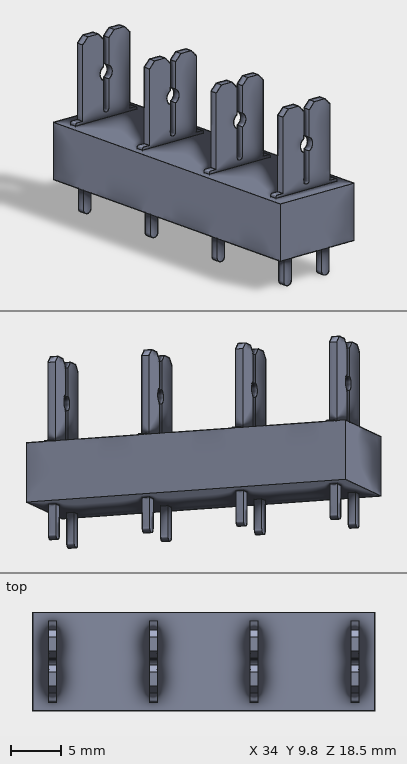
import cadquery as cq

pin_count = 4
pin_pitch = 10.0
end_margin = 2.0

housing_length = (pin_count - 1) * pin_pitch + 2 * end_margin
housing_width = 9.8
housing_height = 6.0

pin_thickness = 0.8
base_width = 8.1
base_depth = housing_height / 2
base_rise = 0.3
shoulder_radius = 0.2

blade_width = 6.25
blade_rise = 9.0
prong_chamfer = 0.7
slot_width = 0.7
slot_floor_rise = 0.6
hole_diameter = 1.6
hole_rise = 4.7

leg_width = 1.0
leg_spacing = 5.0
leg_drop = 3.5

base_bottom = housing_height - base_depth
blade_top = housing_height + blade_rise
pin_positions = [(i - (pin_count - 1) / 2) * pin_pitch for i in range(pin_count)]


def plate(width, bottom, top, y=0):
    """Rectangular plate of pin thickness, centred on X = 0 and on the given Y."""
    height = top - bottom
    return cq.Workplane("XY").box(pin_thickness, width, height).translate((0, y, (bottom + top) / 2))


def disc(diameter, z, y=0):
    """Round disc of pin thickness with its axis along X."""
    face = cq.Workplane("YZ", origin=(-pin_thickness / 2, y, z)).circle(diameter / 2)
    return face.extrude(pin_thickness)


def make_base():
    base = plate(base_width, base_bottom, housing_height + base_rise)
    return base.edges("|X and >Z").fillet(shoulder_radius)


def make_blade():
    """Two chamfered prongs either side of a round-bottomed slot with a hole across it."""
    slot_round_z = housing_height + slot_floor_rise + slot_width / 2
    blade = plate(blade_width, housing_height, blade_top)
    blade = blade.cut(plate(slot_width, slot_round_z, blade_top))
    blade = blade.edges("|X and >Z").chamfer(prong_chamfer)
    blade = blade.cut(disc(slot_width, slot_round_z))
    return blade.cut(disc(hole_diameter, housing_height + hole_rise))


def make_leg(y):
    """Leg with a fully rounded tip."""
    tip_round_z = -leg_drop + leg_width / 2
    return plate(leg_width, tip_round_z, base_bottom, y).union(disc(leg_width, tip_round_z, y))


def make_pin(x):
    """One pin, its slot floor lying above the shoulders so the prongs share a solid foot."""
    pin = make_base().union(make_blade())
    for side in (-1, 1):
        pin = pin.union(make_leg(side * leg_spacing / 2))
    return pin.translate((x, 0, 0))


def make_housing(pins):
    """Block with a matching recess for every pin."""
    housing = cq.Workplane("XY").box(
        housing_length, housing_width, housing_height, centered=(True, True, False)
    )
    for pin in pins:
        housing = housing.cut(pin)
    return housing


pins = [make_pin(x) for x in pin_positions]
housing = make_housing(pins)

pin_solids = [pin.solids().val() for pin in pins]
result = cq.Compound.makeCompound([housing.solids().val(), *pin_solids])